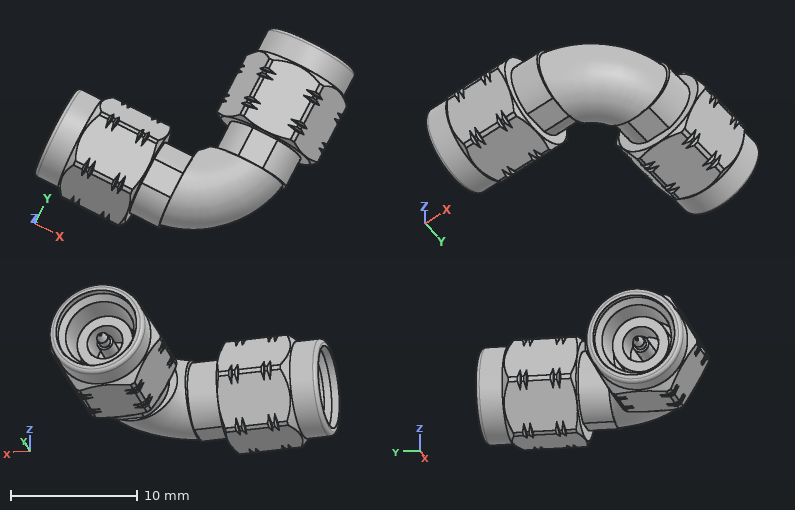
import cadquery as cq
import math


overall_length = 19.61
hex_corner_radius = 4.51
mouth_reach = overall_length - hex_corner_radius

hex_across_flats = 8.0
hex_half_angle = math.radians(30)
hex_front = 2.18
hex_rear = 8.18
collar_radius = 3.9
collar_edge_radius = 0.31
front_chamfer = hex_corner_radius - collar_radius
rear_chamfer_height = 0.53
rear_chamfer_angle = math.radians(30)
rear_chamfer_length = rear_chamfer_height * math.tan(rear_chamfer_angle)

groove_depth = 0.27
groove_width = 0.31
groove_pair_depths = (3.96, 6.63)
groove_spacing = 0.51

mouth_bore_radius = 3.3
mouth_bore_depth = 0.63
thread_bore_radius = 2.8
thread_bore_start = mouth_bore_depth + mouth_bore_radius - thread_bore_radius
socket_floor = 5.88

tube_outer_radius = 2.27
tube_inner_radius = 1.45
tube_front = 2.7
conductor_radius = 0.65
conductor_front = tube_front
pin_radius = 0.45
pin_tip_radius = 0.1
pin_tip = 1.3
pin_cone_end = 1.9

neck_radius = 3.15
neck_across_flats = 5.92
neck_end_offset = 4.33

elbow_section_radius = neck_radius
elbow_bend_radius = 5.82
elbow_centre_offset = 5.95


def revolved(points):
    """Solid turned about X from an outline of (depth, radius) points, depths from the mouth."""
    placed = [(depth - mouth_reach, radius) for depth, radius in points]
    return cq.Workplane("XY").polyline(placed).close().revolve(360, (0, 0), (1, 0))


def cylinder(start, end, radius):
    return revolved([(start, 0), (end, 0), (end, radius), (start, radius)])


def nut_body():
    collar = cylinder(0, hex_rear, collar_radius).faces("<X").edges().fillet(collar_edge_radius)
    hexagon = (
        cq.Workplane("YZ", origin=(hex_front - mouth_reach, 0, 0))
        .polygon(6, hex_across_flats / math.cos(hex_half_angle))
        .extrude(hex_rear - hex_front)
    )
    turned_envelope = revolved([
        (hex_front, 0),
        (hex_front, collar_radius),
        (hex_front + front_chamfer, hex_corner_radius),
        (hex_rear - rear_chamfer_length, hex_corner_radius),
        (hex_rear, hex_corner_radius - rear_chamfer_height),
        (hex_rear, 0),
    ])
    return collar.union(hexagon.intersect(turned_envelope))


def marker_groove(depth):
    """Ring with a V section whose point faces the axis, carried on past the corners by its own depth."""
    return revolved([
        (depth - groove_width, hex_corner_radius + groove_depth),
        (depth, hex_corner_radius - groove_depth),
        (depth + groove_width, hex_corner_radius + groove_depth),
    ])


def socket():
    return revolved([
        (0, 0),
        (0, mouth_bore_radius),
        (mouth_bore_depth, mouth_bore_radius),
        (thread_bore_start, thread_bore_radius),
        (socket_floor, thread_bore_radius),
        (socket_floor, 0),
    ])


def contact_tube():
    tube = cylinder(tube_front, hex_rear, tube_outer_radius)
    return tube.cut(cylinder(tube_front, socket_floor, tube_inner_radius))


def centre_contact():
    return revolved([
        (pin_tip, 0),
        (pin_tip, pin_tip_radius),
        (pin_cone_end, pin_radius),
        (conductor_front, pin_radius),
        (conductor_front, conductor_radius),
        (hex_rear, conductor_radius),
        (hex_rear, 0),
    ])


def neck():
    neck_end = mouth_reach - neck_end_offset
    flats = cq.Workplane("XY").box(2 * overall_length, 2 * overall_length, neck_across_flats)
    return cylinder(hex_rear, neck_end, neck_radius).intersect(flats)


def connector():
    nut = nut_body().cut(socket())
    for pair_depth in groove_pair_depths:
        for side in (-1, 1):
            nut = nut.cut(marker_groove(pair_depth + side * groove_spacing / 2))
    return nut.union(contact_tube()).union(centre_contact()).union(neck())


def elbow():
    torus = cq.Workplane(cq.Solid.makeTorus(
        elbow_bend_radius,
        elbow_section_radius,
        cq.Vector(-elbow_centre_offset, elbow_centre_offset, 0),
    ))
    quadrant = cq.Workplane("XY").box(
        overall_length, overall_length, overall_length, centered=(False, False, True)
    ).translate((-neck_end_offset, neck_end_offset - overall_length, 0))
    return torus.intersect(quadrant)


side_connector = connector()
upper_connector = side_connector.rotate((0, 0, 0), (0, 0, 1), -90)
result = elbow().union(side_connector).union(upper_connector)